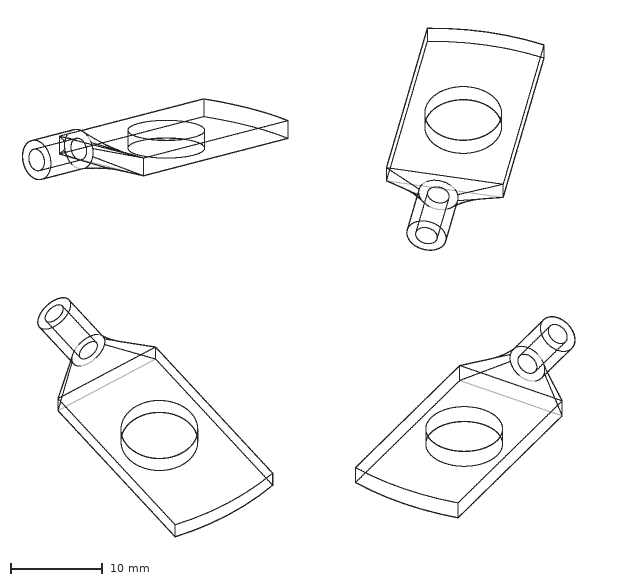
import cadquery as cq
import math

total_length = 33
plate_width = 13.0
plate_thickness = 2.0
total_height = 4.65

barrel_diameter = 4.4
bore_diameter = 2.4
barrel_length = 6.5
barrel_radius = barrel_diameter / 2
barrel_axis_z = total_height - barrel_radius

plate_start_y = 10.0
end_arc_rise = 0.73
corner_y = total_length - end_arc_rise
hole_diameter = 8.38
hole_y = 20.0

corner_angle = 90 * plate_thickness / (plate_width + plate_thickness)


def make_plate():
    """Flat plate with a shallow arc at its far end and a round hole."""
    half_width = plate_width / 2
    plate = (
        cq.Workplane("XY")
        .moveTo(-half_width, plate_start_y)
        .lineTo(half_width, plate_start_y)
        .lineTo(half_width, corner_y)
        .threePointArc((0, total_length), (-half_width, corner_y))
        .close()
        .extrude(plate_thickness)
    )
    hole = cq.Workplane("XY").center(0, hole_y).circle(hole_diameter / 2).extrude(plate_thickness)
    return plate.cut(hole)


def barrel_point(angle):
    """Point on the barrel's inner end circle, with the angle measured from +X toward +Z."""
    turn = math.radians(angle)
    return cq.Vector(
        barrel_radius * math.cos(turn),
        barrel_length,
        barrel_axis_z + barrel_radius * math.sin(turn),
    )


def make_transition():
    """Ruled neck from the plate's rectangular end to the round barrel."""
    half_width = plate_width / 2
    corners = [
        cq.Vector(half_width, plate_start_y, plate_thickness),
        cq.Vector(-half_width, plate_start_y, plate_thickness),
        cq.Vector(-half_width, plate_start_y, 0),
        cq.Vector(half_width, plate_start_y, 0),
    ]
    angles = [
        corner_angle,
        180 - corner_angle,
        180 + corner_angle,
        360 - corner_angle,
        360 + corner_angle,
    ]
    rectangle = cq.Wire.makePolygon(corners, close=True)
    arcs = [
        cq.Edge.makeThreePointArc(barrel_point(start), barrel_point((start + end) / 2), barrel_point(end))
        for start, end in zip(angles, angles[1:])
    ]
    circle = cq.Wire.assembleEdges(arcs)
    return cq.Workplane(cq.Solid.makeLoft([rectangle, circle], True))


def make_cylinder(diameter):
    """Cylinder on the barrel axis, as long as the barrel."""
    return (
        cq.Workplane("XZ")
        .center(0, barrel_axis_z)
        .circle(diameter / 2)
        .extrude(-barrel_length)
    )


body = make_plate().union(make_transition()).union(make_cylinder(barrel_diameter))
result = body.cut(make_cylinder(bore_diameter))